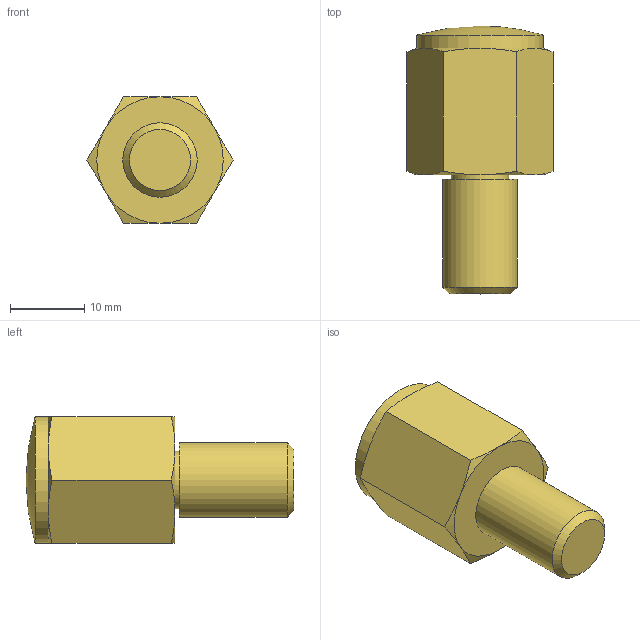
import cadquery as cq
import math

across_flats = 17.0
across_corners = across_flats / math.cos(math.radians(30))
hex_length = 17.0
corner_chamfer_angle = 20.0

head_height = 20.0
cap_diameter = across_flats
dome_radius = 30.0

stud_diameter = 10.0
stud_length = 16.0
tip_chamfer = 0.9
undercut_diameter = 7.7
undercut_width = 0.6


def revolve_about_y(profile):
    """Revolve a closed XY half-profile a full turn about the Y axis."""
    return profile.close().revolve(360, (0, 0, 0), (0, 1, 0))


def make_hexagon():
    """Hexagonal prism, flats facing +Z and -Z, with conically turned corners at both ends."""
    prism = cq.Workplane("XZ").polygon(6, across_corners).extrude(-hex_length)
    flat_radius = across_flats / 2
    corner_radius = across_corners / 2
    setback = (corner_radius - flat_radius) * math.tan(math.radians(corner_chamfer_angle))
    envelope = revolve_about_y(
        cq.Workplane("XY")
        .lineTo(flat_radius, 0)
        .lineTo(corner_radius, setback)
        .lineTo(corner_radius, hex_length - setback)
        .lineTo(flat_radius, hex_length)
        .lineTo(0, hex_length)
    )
    return prism.intersect(envelope)


def make_domed_cap():
    """Round cap on the hexagon, closed by a shallow spherical dome."""
    cap_radius = cap_diameter / 2
    dome_center = head_height - dome_radius
    dome_edge = dome_center + math.sqrt(dome_radius**2 - cap_radius**2)
    half_angle = math.asin(cap_radius / dome_radius) / 2
    arc_middle = (
        dome_radius * math.sin(half_angle),
        dome_center + dome_radius * math.cos(half_angle),
    )
    return revolve_about_y(
        cq.Workplane("XY")
        .moveTo(0, hex_length)
        .lineTo(cap_radius, hex_length)
        .lineTo(cap_radius, dome_edge)
        .threePointArc(arc_middle, (0, head_height))
    )


def make_stud():
    """Stud with an undercut below the hexagon and a 45 degree chamfer on its tip."""
    stud_radius = stud_diameter / 2
    undercut_radius = undercut_diameter / 2
    return revolve_about_y(
        cq.Workplane("XY")
        .lineTo(undercut_radius, 0)
        .lineTo(undercut_radius, -undercut_width)
        .lineTo(stud_radius, -undercut_width)
        .lineTo(stud_radius, tip_chamfer - stud_length)
        .lineTo(stud_radius - tip_chamfer, -stud_length)
        .lineTo(0, -stud_length)
    )


result = make_hexagon().union(make_domed_cap()).union(make_stud())